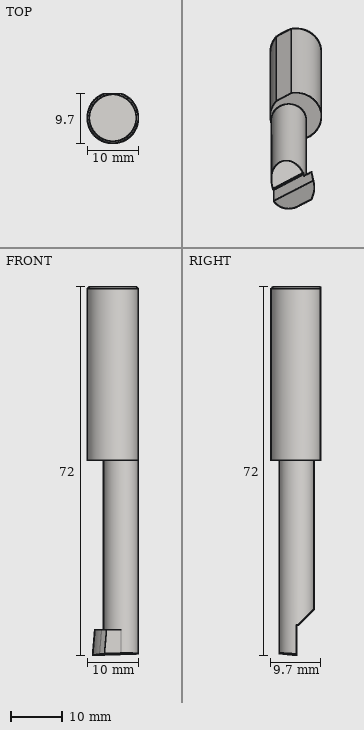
import cadquery as cq

total_length = 72.0
shank_diameter = 10.0
shank_radius = shank_diameter / 2
shank_length = 33.9
shank_bottom = total_length - shank_length
flat_depth = 0.3
flat_offset = shank_radius - flat_depth
end_chamfer = 0.4

neck_diameter = 6.85
neck_radius = neck_diameter / 2
neck_center_x = shank_radius - neck_radius

relief_start = 9.0
relief_end = 5.9
relief_step = neck_radius - (relief_start - relief_end)

tip_height = 5.05
cutting_edge_x = -3.95
flank_middle_x = -3.45
flank_middle_y = -1.3
facet_corner_x = -2.7
front_corner_x = -1.65
facet_corner_y = -2.45
flank_lean = 0.4

clearance_rise_x = 0.3
clearance_rise_y = 0.3


def make_shank():
    shank = cq.Workplane("XY").workplane(offset=shank_bottom).circle(shank_radius).extrude(shank_length)
    shank = shank.faces(">Z").chamfer(end_chamfer)
    keep = cq.Workplane("XY").box(
        shank_diameter, shank_radius + flat_offset, total_length, centered=(True, False, False)
    )
    return shank.intersect(keep.translate((0, -shank_radius, 0)))


def make_neck():
    neck = cq.Workplane("XY").center(neck_center_x, 0).circle(neck_radius).extrude(shank_bottom)
    relief = (
        cq.Workplane("YZ")
        .polyline([
            (0, 0),
            (0, relief_end),
            (relief_step, relief_end),
            (neck_radius, relief_start),
            (shank_diameter, relief_start),
            (shank_diameter, 0),
        ])
        .close()
        .extrude(shank_diameter, both=True)
    )
    return neck.cut(relief)


def draw_tip_profile(plane, lean):
    return (
        plane.moveTo(neck_center_x, 0)
        .lineTo(cutting_edge_x + lean, 0)
        .threePointArc((flank_middle_x + lean, flank_middle_y), (facet_corner_x + lean, facet_corner_y))
        .lineTo(front_corner_x + lean, -neck_radius)
        .lineTo(neck_center_x, -neck_radius)
        .close()
    )


def make_tip():
    bottom = draw_tip_profile(cq.Workplane("XY"), 0)
    both_ends = draw_tip_profile(bottom.workplane(offset=tip_height, origin=(0, 0, 0)), flank_lean)
    return both_ends.loft(ruled=True)


def make_end_clearance():
    """Block whose tilted top passes through the lowest point of the cutting edge."""
    slope_x = clearance_rise_x / (shank_radius - cutting_edge_x)
    slope_y = clearance_rise_y / neck_radius
    end_plane = cq.Plane(
        origin=(cutting_edge_x, 0, 0), xDir=(1, 0, slope_x), normal=(-slope_x, slope_y, 1)
    )
    block_size = 4 * shank_diameter
    return cq.Workplane(end_plane).rect(block_size, block_size).extrude(-shank_diameter)


result = make_shank().union(make_neck()).union(make_tip()).cut(make_end_clearance())